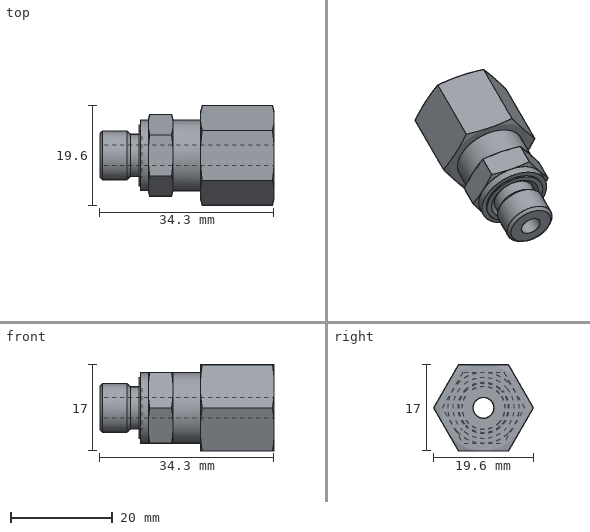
import cadquery as cq
import math


LENGTH = 34.3
STUD_TAPER_START = 5.3
UNDERCUT_START = 6.0
SEAL_FACE = 7.7
COLLAR_START = 8.0
COUNTERSINK_END = 8.3
HEX_START = 9.55
HEX_END = 14.4
NUT_START = 19.8

STUD_RADIUS = 4.85
UNDERCUT_RADIUS = 4.2
SEAL_OUTER_RADIUS = 6.0
SEAL_INNER_RADIUS = 5.05
BORE_RADIUS = 2.02
COLLAR_RADIUS = 6.95
STUD_CHAMFER = 0.6

BODY_FLATS = 14.0
NUT_FLATS = 17.0
NECK_RADIUS = BODY_FLATS / 2
CHAMFER_ANGLE = 15


def cylinder(radius, start, end):
    """Cylinder around the X axis."""
    return cq.Workplane("YZ", origin=(start, 0, 0)).circle(radius).extrude(end - start)


def chamfered_hexagon(flats, start, end):
    """Hexagon bar with corners along Y, both ends turned down to the inscribed circle."""
    corner_radius = flats / 2 / math.cos(math.radians(30))
    drop = (corner_radius - flats / 2) * math.tan(math.radians(CHAMFER_ANGLE))
    bar = (
        cq.Workplane("YZ", origin=(start, 0, 0))
        .polygon(6, 2 * corner_radius)
        .extrude(end - start)
    )
    envelope = (
        cq.Workplane("XY")
        .moveTo(start, 0)
        .lineTo(start, flats / 2)
        .lineTo(start + drop, corner_radius)
        .lineTo(end - drop, corner_radius)
        .lineTo(end, flats / 2)
        .lineTo(end, 0)
        .close()
        .revolve(360, (0, 0, 0), (1, 0, 0))
    )
    return bar.intersect(envelope)


def threaded_stud():
    """Stud with a chamfered tip and a conical run-down into the undercut."""
    return (
        cq.Workplane("XY")
        .moveTo(0, 0)
        .lineTo(0, STUD_RADIUS - STUD_CHAMFER)
        .lineTo(STUD_CHAMFER, STUD_RADIUS)
        .lineTo(STUD_TAPER_START, STUD_RADIUS)
        .lineTo(UNDERCUT_START, UNDERCUT_RADIUS)
        .lineTo(HEX_START, UNDERCUT_RADIUS)
        .lineTo(HEX_START, 0)
        .close()
        .revolve(360, (0, 0, 0), (1, 0, 0))
    )


def seal_collar():
    """Collar with a stepped face, countersunk down to the undercut."""
    return (
        cq.Workplane("XY")
        .moveTo(HEX_START, 0)
        .lineTo(COUNTERSINK_END, 0)
        .lineTo(COUNTERSINK_END, UNDERCUT_RADIUS)
        .lineTo(SEAL_FACE, SEAL_INNER_RADIUS)
        .lineTo(SEAL_FACE, SEAL_OUTER_RADIUS)
        .lineTo(COLLAR_START, SEAL_OUTER_RADIUS)
        .lineTo(COLLAR_START, COLLAR_RADIUS)
        .lineTo(HEX_START, COLLAR_RADIUS)
        .close()
        .revolve(360, (0, 0, 0), (1, 0, 0))
    )


neck = cylinder(NECK_RADIUS, HEX_END, NUT_START)
body_hexagon = chamfered_hexagon(BODY_FLATS, HEX_START, HEX_END)
union_nut = chamfered_hexagon(NUT_FLATS, NUT_START, LENGTH)

solid_fitting = (
    threaded_stud()
    .union(seal_collar())
    .union(body_hexagon)
    .union(neck)
    .union(union_nut)
)

result = solid_fitting.cut(cylinder(BORE_RADIUS, 0, LENGTH)).translate((-LENGTH / 2, 0, 0))